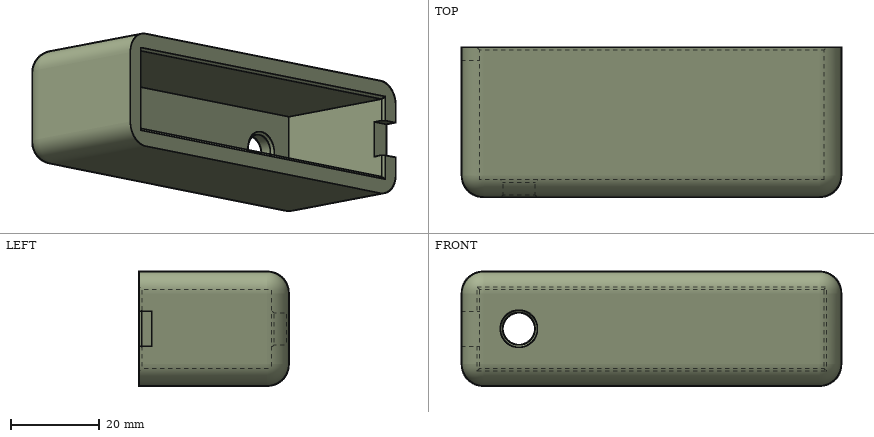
import cadquery as cq

LENGTH = 86.0
DEPTH = 34.0
HEIGHT = 26.0
EDGE_RADIUS = 5.0
WALL = 4.0

CHAMFER = 0.6

NOTCH_DEPTH = 2.9
NOTCH_HEIGHT = 8.0

HOLE_DIAMETER = 7.2
HOLE_FROM_LEFT = 13.0

LEFT_FACE = -LENGTH / 2
FRONT_FACE = -DEPTH / 2
BACK_FACE = DEPTH / 2


def outer_body():
    """Block with every edge rounded except those around the open back."""
    block = cq.Workplane("XY").box(LENGTH, DEPTH, HEIGHT)
    return block.edges("not >Y").fillet(EDGE_RADIUS)


def cavity():
    """Rectangular pocket open at the back face, flared at its rim."""
    pocket_length = LENGTH - 2 * WALL
    pocket_depth = DEPTH - WALL
    pocket_height = HEIGHT - 2 * WALL
    pocket = cq.Workplane("XY").box(pocket_length, pocket_depth, pocket_height).translate((0, WALL / 2, 0))
    flare = (
        cq.Workplane("XZ", origin=(0, BACK_FACE, 0))
        .rect(pocket_length + 2 * CHAMFER, pocket_height + 2 * CHAMFER)
        .workplane(offset=CHAMFER)
        .rect(pocket_length, pocket_height)
        .loft(ruled=True)
    )
    return pocket.union(flare)


def cable_notch():
    """Cutter through the left wall only, centred on its back edge."""
    cutter = cq.Workplane("XY").box(2 * WALL, 2 * NOTCH_DEPTH, NOTCH_HEIGHT)
    return cutter.translate((LEFT_FACE, BACK_FACE, 0))


def front_hole():
    """Cutter through the front wall, countersunk on its outer and inner sides."""
    bore_radius = HOLE_DIAMETER / 2
    mouth_radius = bore_radius + CHAMFER
    inner_face = FRONT_FACE + WALL
    half_profile = [
        (0, FRONT_FACE),
        (mouth_radius, FRONT_FACE),
        (bore_radius, FRONT_FACE + CHAMFER),
        (bore_radius, inner_face - CHAMFER),
        (mouth_radius, inner_face),
        (0, inner_face),
    ]
    cutter = cq.Workplane("XY").polyline(half_profile).close().revolve(360, (0, 0, 0), (0, 1, 0))
    return cutter.translate((LEFT_FACE + HOLE_FROM_LEFT, 0, 0))


result = outer_body().cut(cavity()).cut(cable_notch()).cut(front_hole())